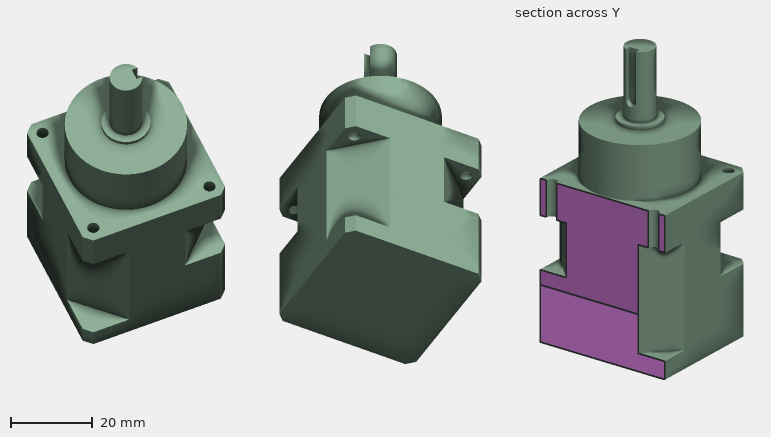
import cadquery as cq
import math

body_side = 38.0
corner_chamfer = 2.0
adapter_height = 15.5
body_top = 44.0

pilot_diameter = 30.0
pilot_height = 15.0
collar_diameter = 12.0
collar_height = 1.0
shaft_diameter = 8.0
shaft_length = 19.0
pilot_top = body_top + pilot_height
collar_top = pilot_top + collar_height
shaft_top = collar_top + shaft_length

key_width = 3.0
key_depth = 1.8
key_length = 15.0
key_bottom = shaft_top - key_length

mount_flange_thickness = 10.0
mount_hole_diameter = 3.0
mount_hole_spacing = 31.0

pocket_leg = 11.5
pocket_top = body_top - mount_flange_thickness
short_pocket_floor = 19.5
long_pocket_floor = 5.0

corner_pockets = [
    (45, short_pocket_floor),
    (135, long_pocket_floor),
    (225, short_pocket_floor),
    (315, long_pocket_floor),
]


def square_block(bottom, top):
    """Square block with its four upright edges chamfered."""
    return (
        cq.Workplane("XY", origin=(0, 0, bottom))
        .rect(body_side, body_side)
        .extrude(top - bottom)
        .edges("|Z")
        .chamfer(corner_chamfer)
    )


def corner_pocket(direction, floor):
    """Cutter that removes everything outside a 45-degree flat across one corner."""
    corner_distance = body_side / math.sqrt(2)
    flat_distance = corner_distance - pocket_leg / math.sqrt(2)
    cutter_depth = corner_distance - flat_distance
    return (
        cq.Workplane("XY", origin=(0, 0, floor))
        .center(flat_distance + cutter_depth / 2, 0)
        .rect(cutter_depth, 2 * cutter_depth)
        .extrude(pocket_top - floor)
        .rotate((0, 0, 0), (0, 0, 1), direction)
    )


def cut_corner_pockets(block, block_bottom, block_top):
    """Cut the pockets that reach into a block lying between two levels."""
    for direction, floor in corner_pockets:
        if floor < block_top and pocket_top > block_bottom:
            block = block.cut(corner_pocket(direction, floor))
    return block


def cylinder(diameter, bottom, top):
    return cq.Workplane("XY", origin=(0, 0, bottom)).circle(diameter / 2).extrude(top - bottom)


def keyway():
    """Keyway cutter with a flat floor and a round lower end."""
    key_radius = key_width / 2
    floor_y = shaft_diameter / 2 - key_depth
    arc_center_z = key_bottom + key_radius
    return (
        cq.Workplane("XZ", origin=(0, floor_y, 0))
        .moveTo(-key_radius, shaft_top)
        .lineTo(-key_radius, arc_center_z)
        .threePointArc((0, key_bottom), (key_radius, arc_center_z))
        .lineTo(key_radius, shaft_top)
        .close()
        .extrude(-shaft_diameter / 2)
    )


def mounting_holes():
    """Four holes that run from the top face down to the pockets."""
    return (
        cq.Workplane("XY", origin=(0, 0, pocket_top))
        .rect(mount_hole_spacing, mount_hole_spacing, forConstruction=True)
        .vertices()
        .circle(mount_hole_diameter / 2)
        .extrude(mount_flange_thickness)
    )


def make_motor_adapter():
    """Lower block, crossed by the two long pockets."""
    return cut_corner_pockets(square_block(0, adapter_height), 0, adapter_height)


def make_gearbox():
    """Upper block with its pilot, collar and keyed output shaft."""
    block = square_block(adapter_height, body_top)
    block = cut_corner_pockets(block, adapter_height, body_top)
    block = block.cut(mounting_holes())
    pilot = cylinder(pilot_diameter, body_top, pilot_top)
    collar = cylinder(collar_diameter, pilot_top, collar_top)
    shaft = cylinder(shaft_diameter, collar_top, shaft_top).cut(keyway())
    return block.union(pilot).union(collar).union(shaft)


motor_adapter = make_motor_adapter()
gearbox = make_gearbox()

result = cq.Compound.makeCompound([motor_adapter.val(), gearbox.val()])